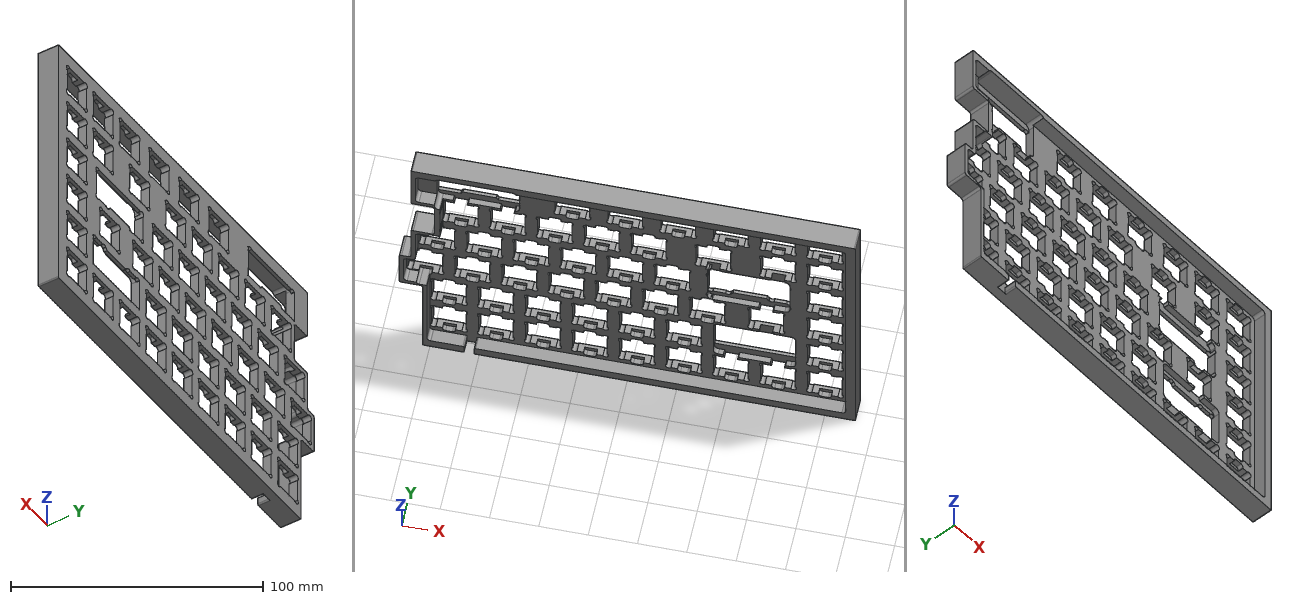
import cadquery as cq


key_pitch = 19.05
row_count = 6
half_cell = key_pitch / 2

total_depth = 9.5
cavity_depth = 5.5
web_thickness = 1.5
floor_y = total_depth - web_thickness
rim = 4.0
thin_wall = 1.8
thick_wall = 2.3
outer_corner_radius = 0.5
step_corner_radius = 1.0
cavity_corner_radius = 1.5

switch_half = 7.0
relief_radius = 1.25
relief_inset = 0.75
clip_reach = 1.7
clip_width = 5.2
clip_corner_radius = 1.2
clip_flare = 0.5

wide_half = 16.7
pocket_half_height = 10.45
pocket_corner_radius = 2.0
wide_long_side = 8.2
tongue_base_half = 7.6
tongue_tip_half = 6.8

slot_width = 4.0
slot_center_x = 28.4
slot_corner_radius = 0.6

row_left_edges = [0.25, 0.75, 0.25, 0.0, 0.5, 0.5]
row_left_walls = [thin_wall, thick_wall, thin_wall, thin_wall, thin_wall, thin_wall]
switch_columns = [
    [3.625, 4.75, 5.875, 7, 8, 9],
    [1.25, 2.25, 3.25, 4.25, 5.25, 6.625, 8, 9],
    [0.75, 1.75, 2.75, 3.75, 4.75, 5.75, 9],
    [0.5, 1.5, 2.5, 3.5, 4.5, 5.5, 6.5, 7.75, 9],
    [1, 2, 3, 4, 5, 6, 9],
    [1, 2, 3, 4, 5, 6, 7, 8, 9],
]

wide_keys = [
    (0, 1.625, -1, (1,), relief_radius),
    (2, 7.375, -1, (-1, 1), relief_inset),
    (4, 7.5, 1, (1,), relief_radius),
]

last_column = 9
plate_width = last_column * key_pitch + half_cell + rim
plate_height = row_count * key_pitch + 2 * rim


def row_center_z(row):
    return plate_height - rim - (row + 0.5) * key_pitch


def slab(y_start, y_end, x=0.0, z=0.0):
    """Workplane facing -Y at the given place, and the extrusion length to y_end."""
    return cq.Workplane("XZ", origin=(x, y_start, z)), y_start - y_end


def prism(points, y_start, y_end, x=0.0, z=0.0):
    plane, length = slab(y_start, y_end, x, z)
    return plane.polyline(points).close().extrude(length)


def stepped_outline(left_walls, step_wall, rim_inset):
    """Plate outline with the staircase left edge, moved inward by the widths of its walls."""
    top = plate_height - rim_inset
    bottom = rim_inset
    right = plate_width - rim_inset
    lefts = [edge * key_pitch + wall for edge, wall in zip(row_left_edges, left_walls)]
    points = [(right, bottom), (right, top), (lefts[0], top)]
    for row in range(row_count - 1):
        here, below = lefts[row], lefts[row + 1]
        if here == below:
            continue
        inward = step_wall if below > here else -step_wall
        step_z = row_center_z(row) - half_cell + inward
        points += [(here, step_z), (below, step_z)]
    points.append((lefts[-1], bottom))
    return points


def make_frame():
    outer = prism(stepped_outline([0.0] * row_count, 0.0, 0.0), 0.0, total_depth)
    steps = outer.edges("|Y").filter(lambda edge: rim < edge.Center().z < plate_height - rim)
    outer = steps.fillet(step_corner_radius)
    corners = outer.edges("|Y and (<Z or >Z)")
    outer = corners.fillet(outer_corner_radius)
    cavity = prism(stepped_outline(row_left_walls, thin_wall, rim), 0.0, cavity_depth)
    return outer.cut(cavity.edges("|Y").fillet(cavity_corner_radius))


def make_switch_tool():
    """Square opening with round corner reliefs, and a clip notch above and below it."""
    plane, length = slab(0.0, total_depth)
    tool = plane.rect(2 * switch_half, 2 * switch_half).extrude(length)
    relief_spacing = 2 * (switch_half - relief_inset)
    reliefs = plane.rect(relief_spacing, relief_spacing, forConstruction=True).vertices()
    tool = tool.union(reliefs.circle(relief_radius).extrude(length))
    plane, length = slab(0.0, floor_y)
    clips = plane.rect(clip_width, 2 * (switch_half + clip_reach)).extrude(length)
    return tool.union(clips.edges("|Y").fillet(clip_corner_radius))


def make_wide_tool(x, z, side, relief_sides, end_inset):
    """Rounded pocket down to the web, and a through opening with a tongue on one side."""
    plane, length = slab(0.0, floor_y, x, z)
    pocket = plane.rect(2 * wide_half, 2 * pocket_half_height).extrude(length)
    pocket = pocket.edges("|Y").fillet(pocket_corner_radius)
    opening = [
        (-wide_half, -side * switch_half),
        (-wide_half, side * wide_long_side),
        (-tongue_base_half, side * wide_long_side),
        (-tongue_tip_half, side * switch_half),
        (tongue_tip_half, side * switch_half),
        (tongue_base_half, side * wide_long_side),
        (wide_half, side * wide_long_side),
        (wide_half, -side * switch_half),
    ]
    relief_centers = []
    for relief_side in relief_sides:
        on_tongue_side = relief_side == side
        reach = wide_long_side if on_tongue_side else switch_half
        z_center = relief_side * (reach - relief_inset)
        distances = [wide_half - end_inset]
        if on_tongue_side:
            distances.append(tongue_base_half + relief_radius)
        for distance in distances:
            relief_centers += [(-distance, z_center), (distance, z_center)]
    plane, length = slab(0.0, total_depth, x, z)
    reliefs = plane.pushPoints(relief_centers).circle(relief_radius).extrude(length)
    return pocket.union(prism(opening, 0.0, total_depth, x, z)).union(reliefs)


def cut_switches(body):
    tool = make_switch_tool().val()
    placed = [
        tool.translate(cq.Vector(column * key_pitch, 0, row_center_z(row)))
        for row, columns in enumerate(switch_columns)
        for column in columns
    ]
    return cq.Workplane(body.val().cut(*placed))


def cut_wide_keys(body):
    for row, column, side, relief_sides, end_inset in wide_keys:
        tool = make_wide_tool(column * key_pitch, row_center_z(row), side, relief_sides, end_inset)
        body = body.cut(tool)
    return body


def cut_clip_joints(body):
    """Open the clip notches beside a wide key into its pocket, flaring toward the pocket."""
    pocket_edge = key_pitch - pocket_half_height
    notch_half = clip_width / 2
    reach_x = wide_half - pocket_corner_radius
    joints = []
    for wide_key in wide_keys:
        wide_row, wide_column = wide_key[:2]
        for row, toward_pocket in [(wide_row - 1, -1), (wide_row + 1, 1)]:
            if row < 0:
                continue
            joint = [
                (-notch_half, toward_pocket * switch_half),
                (-notch_half - clip_flare, toward_pocket * pocket_edge),
                (notch_half + clip_flare, toward_pocket * pocket_edge),
                (notch_half, toward_pocket * switch_half),
            ]
            for column in switch_columns[row]:
                if abs(column - wide_column) * key_pitch < reach_x:
                    x = column * key_pitch
                    joints.append(prism(joint, 0.0, floor_y, x, row_center_z(row)).val())
    return cq.Workplane(body.val().cut(*joints))


def cut_cable_slot(body):
    plane, length = slab(0.0, cavity_depth, slot_center_x, rim / 2)
    body = body.cut(plane.rect(slot_width, rim).extrude(length))
    corners = cq.selectors.BoxSelector(
        (slot_center_x - slot_width, 0, -slot_corner_radius),
        (slot_center_x + slot_width, cavity_depth, rim + slot_corner_radius),
    )
    return body.edges("|Y").edges(corners).fillet(slot_corner_radius)


result = make_frame()
result = cut_switches(result)
result = cut_wide_keys(result)
result = cut_clip_joints(result)
result = cut_cable_slot(result).solids()